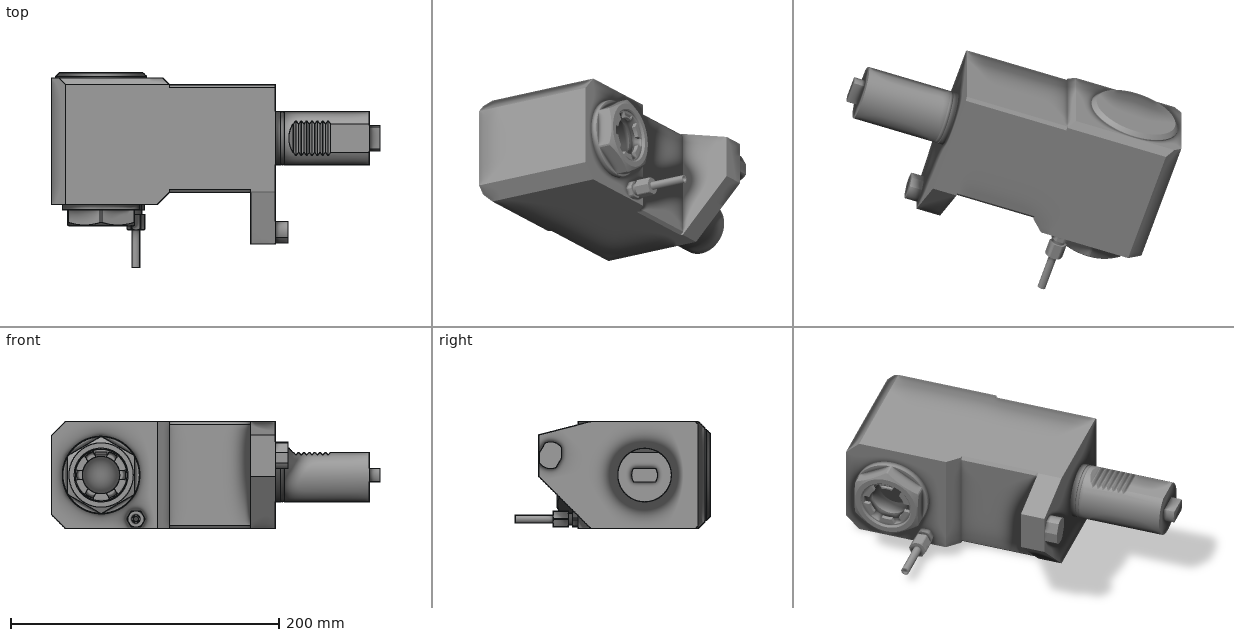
import cadquery as cq
import math


HEAD_LEFT = -167.0
HALF_HEIGHT = 40.0
HEAD_FRONT = -49.5
HEAD_BACK = 45.0
NECK_FRONT = -40.5
NECK_BACK = 40.0
NECK_START = -79.0
LEFT_CHAMFER = 10.5
NECK_CHAMFER = 2.3

FLANGE_THICKNESS = 18.5
FLANGE_FRONT = -79.0
FLANGE_TIP_TOP = 30.0
FLANGE_TIP_BOTTOM = -1.0
FLANGE_ROOT = -40.0

PIN_Y = -70.1
PIN_Z = 14.75
PIN_DIAMETER = 20.0
PIN_LENGTH = 9.5
PIN_FLATS = 16.2
PIN_FLAT_ANGLES = (0.0, -30.0)

SHANK_DIAMETER = 40.0
SHANK_LENGTH = 70.0
FLAT_HEIGHT = 17.0
FLAT_RUNOUT_START = 10.0
TOOTH_COUNT = 7
TOOTH_PITCH = 4.0
FIRST_TOOTH_X = 15.3
TOOTH_DEPTH = 1.8
TOOTH_ROOT_WIDTH = 0.2
SEAL_X = 5.2
SEAL_WIDTH = 2.8
SEAL_EDGE_DIAMETER = 38.38
SEAL_CROWN_DIAMETER = 39.9
TANG_DIAMETER = 19.2
TANG_THICKNESS = 10.0
TANG_LENGTH = 8.0

SPINDLE_X = -130.0
CAP_DIAMETER = 68.0
CAP_THICKNESS = 4.0
CAP_CHAMFER = 3.0
COLLAR_DIAMETER = 58.0
COLLAR_FACE = -53.7
COLLAR_CHAMFER = 0.5
NUT_FLATS = 50.0
NUT_CORNER_DIAMETER = 57.0
NUT_FACE = -65.4
NUT_FACE_DIAMETER = 48.0
NUT_CHAMFER_ANGLE = 30.0
NUT_TURN = 30.0
MOUTH_DIAMETER = 40.2
RECESS_DIAMETER = 38.5
RECESS_DEPTH = 2.0
SLOT_OUTER_DIAMETER = 36.5
SLOT_WIDTH = 6.8
SLOT_COUNT = 6
RING_THICKNESS = 3.0
UNDERCUT_WIDTH = 5.0
NOTCH_BOTTOM = 15.0
NOTCH_DEPTH = 2.2
NOTCH_WIDTH = 9.0
BORE_DIAMETER = 27.9
BORE_DEPTH = 24.0

FITTING_X = -104.0
FITTING_Z = -32.8
FITTING_FLATS = 12.0
FITTING_CORNER_DIAMETER = 13.4
FITTING_BASE_DIAMETER = 13.0
FITTING_CHAMFER = 0.6
FITTING_BASE_END = -53.7
FITTING_NECK_DIAMETER = 8.92
FITTING_HEX_START = -56.8
FITTING_HEX_END = -68.3
TUBE_DIAMETER = 6.0
TUBE_BORE = 4.0
TUBE_BORE_DEPTH = 28.0
TUBE_END = -96.5


def cylinder_y(x, z, diameter, y_start, y_end):
    """Cylinder along Y from y_start towards -Y to y_end."""
    plane = cq.Workplane("XZ", origin=(x, y_start, z))
    return plane.circle(diameter / 2).extrude(y_start - y_end)


def hexagon_y(x, z, flats, y_start, y_end, turn=0):
    """Hexagonal prism along Y; turn rotates its corners away from X."""
    corner_diameter = flats / math.cos(math.pi / 6)
    plane = cq.Workplane("XZ", origin=(x, y_start, z))
    prism = plane.polygon(6, corner_diameter).extrude(y_start - y_end)
    return prism.rotate((x, 0, z), (x, 1, z), turn)


def make_housing():
    """Chamfered head block on the spindle axis and the narrower neck behind the flange."""
    back_step = HEAD_BACK - NECK_BACK
    front_step = NECK_FRONT - HEAD_FRONT
    head_outline = [
        (HEAD_LEFT, HEAD_FRONT),
        (NECK_START - front_step, HEAD_FRONT),
        (NECK_START, NECK_FRONT),
        (NECK_START, NECK_BACK),
        (NECK_START - back_step, HEAD_BACK),
        (HEAD_LEFT, HEAD_BACK),
    ]
    bottom = cq.Workplane("XY").workplane(offset=-HALF_HEIGHT)
    head = bottom.polyline(head_outline).close().extrude(2 * HALF_HEIGHT)
    head = head.edges("|Y and <X").chamfer(LEFT_CHAMFER)
    head_section = [
        (HEAD_FRONT, HALF_HEIGHT),
        (NECK_BACK, HALF_HEIGHT),
        (HEAD_BACK, HALF_HEIGHT - back_step),
        (HEAD_BACK, back_step - HALF_HEIGHT),
        (NECK_BACK, -HALF_HEIGHT),
        (HEAD_FRONT, -HALF_HEIGHT),
    ]
    section_plane = cq.Workplane("YZ", origin=(HEAD_LEFT, 0, 0))
    head = head.intersect(section_plane.polyline(head_section).close().extrude(-HEAD_LEFT))

    neck = (
        cq.Workplane("YZ", origin=(NECK_START, 0, 0))
        .center((NECK_FRONT + NECK_BACK) / 2, 0)
        .rect(NECK_BACK - NECK_FRONT, 2 * HALF_HEIGHT)
        .extrude(-NECK_START)
        .edges("|X")
        .chamfer(NECK_CHAMFER)
    )
    return head.union(neck)


def make_flange():
    """Plate with a sloped lug towards -Y."""
    outline = [
        (0, HALF_HEIGHT),
        (FLANGE_ROOT, HALF_HEIGHT),
        (FLANGE_FRONT, FLANGE_TIP_TOP),
        (FLANGE_FRONT, FLANGE_TIP_BOTTOM),
        (FLANGE_ROOT, -HALF_HEIGHT),
        (0, -HALF_HEIGHT),
    ]
    plane = cq.Workplane("YZ", origin=(-FLANGE_THICKNESS, 0, 0))
    return plane.polyline(outline).close().extrude(FLANGE_THICKNESS)


def make_pin():
    """Round pin with two pairs of parallel flats, the second pair turned to the first."""
    plane = cq.Workplane("YZ").center(PIN_Y, PIN_Z)
    pin = plane.circle(PIN_DIAMETER / 2).extrude(PIN_LENGTH)
    slab = plane.rect(PIN_FLATS, PIN_DIAMETER).extrude(PIN_LENGTH)
    for angle in PIN_FLAT_ANGLES:
        pin = pin.intersect(slab.rotate((0, PIN_Y, PIN_Z), (1, PIN_Y, PIN_Z), angle))
    return pin


def make_shank():
    """Round shank with a toothed flat on top, a crowned seal band and a drive tang."""
    radius = SHANK_DIAMETER / 2
    shank = cq.Workplane("YZ").circle(radius).extrude(SHANK_LENGTH)

    flat_depth = radius - FLAT_HEIGHT
    flat_cut = [
        (FLAT_RUNOUT_START, radius),
        (FLAT_RUNOUT_START + flat_depth, FLAT_HEIGHT),
        (SHANK_LENGTH, FLAT_HEIGHT),
        (SHANK_LENGTH, radius),
    ]
    side = cq.Workplane("XZ")
    shank = shank.cut(side.polyline(flat_cut).close().extrude(radius, both=True))

    root = FLAT_HEIGHT - TOOTH_DEPTH
    half_root = TOOTH_ROOT_WIDTH / 2
    half_top = half_root + TOOTH_DEPTH
    for index in range(TOOTH_COUNT):
        x = FIRST_TOOTH_X + index * TOOTH_PITCH
        groove = [
            (x - half_top, FLAT_HEIGHT),
            (x - half_root, root),
            (x + half_root, root),
            (x + half_top, FLAT_HEIGHT),
        ]
        shank = shank.cut(side.polyline(groove).close().extrude(radius, both=True))

    seal_left = SEAL_X - SEAL_WIDTH / 2
    seal_right = SEAL_X + SEAL_WIDTH / 2
    seal_edge = SEAL_EDGE_DIAMETER / 2
    seal_groove = (
        cq.Workplane("XY")
        .moveTo(seal_left, seal_edge)
        .threePointArc((SEAL_X, SEAL_CROWN_DIAMETER / 2), (seal_right, seal_edge))
        .lineTo(seal_right, SHANK_DIAMETER)
        .lineTo(seal_left, SHANK_DIAMETER)
        .close()
        .revolve(360, (0, 0, 0), (1, 0, 0))
    )
    shank = shank.cut(seal_groove)

    tang_plane = cq.Workplane("YZ", origin=(SHANK_LENGTH, 0, 0))
    tang = tang_plane.circle(TANG_DIAMETER / 2).extrude(TANG_LENGTH)
    tang = tang.intersect(tang_plane.rect(TANG_DIAMETER, TANG_THICKNESS).extrude(TANG_LENGTH))
    return shank.union(tang)


def make_cap():
    cap = cylinder_y(SPINDLE_X, 0, CAP_DIAMETER, HEAD_BACK + CAP_THICKNESS, HEAD_BACK)
    return cap.faces(">Y").chamfer(CAP_CHAMFER)


def make_nut():
    """Round collar and a hexagonal nut with rounded, chamfered corners."""
    collar = cylinder_y(SPINDLE_X, 0, COLLAR_DIAMETER, HEAD_FRONT, COLLAR_FACE)
    collar = collar.faces("<Y").chamfer(COLLAR_CHAMFER)
    nut = hexagon_y(SPINDLE_X, 0, NUT_FLATS, COLLAR_FACE, NUT_FACE, NUT_TURN)
    corner_radius = NUT_CORNER_DIAMETER / 2
    face_radius = NUT_FACE_DIAMETER / 2
    cone_height = (corner_radius - face_radius) * math.tan(math.radians(NUT_CHAMFER_ANGLE))
    rounding_profile = [
        (0, COLLAR_FACE),
        (corner_radius, COLLAR_FACE),
        (corner_radius, NUT_FACE + cone_height),
        (face_radius, NUT_FACE),
        (0, NUT_FACE),
    ]
    half_section = cq.Workplane("XY", origin=(SPINDLE_X, 0, 0)).polyline(rounding_profile).close()
    rounding = half_section.revolve(360, (0, 0, 0), (0, 1, 0))
    return collar.union(nut.intersect(rounding))


def make_collet_cavity():
    """Chamfered recess, slotted ring with an undercut behind it and central bore, all open towards -Y."""
    ring_face = NUT_FACE + RECESS_DEPTH
    recess = cylinder_y(SPINDLE_X, 0, RECESS_DIAMETER, ring_face, NUT_FACE)
    bore = cylinder_y(SPINDLE_X, 0, BORE_DIAMETER, NUT_FACE + BORE_DEPTH, NUT_FACE)
    mouth_width = (MOUTH_DIAMETER - RECESS_DIAMETER) / 2
    mouth = cq.Workplane(
        cq.Solid.makeCone(
            MOUTH_DIAMETER / 2,
            RECESS_DIAMETER / 2,
            mouth_width,
            cq.Vector(SPINDLE_X, NUT_FACE, 0),
            cq.Vector(0, 1, 0),
        )
    )
    ring_back = ring_face + RING_THICKNESS
    undercut_back = ring_back + UNDERCUT_WIDTH
    undercut = cylinder_y(SPINDLE_X, 0, SLOT_OUTER_DIAMETER, undercut_back, ring_back)
    slot_limit = cylinder_y(SPINDLE_X, 0, SLOT_OUTER_DIAMETER, ring_back, ring_face)
    slot_plane = cq.Workplane("XZ", origin=(SPINDLE_X, ring_back, 0))
    cavity = recess.union(bore).union(mouth).union(undercut)
    for index in range(SLOT_COUNT // 2):
        bar = slot_plane.rect(SLOT_OUTER_DIAMETER, SLOT_WIDTH).extrude(RING_THICKNESS)
        bar = bar.rotate((SPINDLE_X, 0, 0), (SPINDLE_X, 1, 0), index * 360 / SLOT_COUNT)
        cavity = cavity.union(bar.intersect(slot_limit))
    notch_profile = [
        (ring_face, NOTCH_BOTTOM),
        (ring_face, NOTCH_BOTTOM + NOTCH_DEPTH),
        (ring_face + NOTCH_DEPTH, NOTCH_BOTTOM),
    ]
    notch_plane = cq.Workplane("YZ", origin=(SPINDLE_X, 0, 0))
    notch = notch_plane.polyline(notch_profile).close().extrude(NOTCH_WIDTH / 2, both=True)
    return cavity.union(notch)


def make_fitting():
    """Hexagonal base, round neck, hexagonal body and a bored tube along -Y."""
    base = hexagon_y(FITTING_X, FITTING_Z, FITTING_FLATS, HEAD_FRONT, FITTING_BASE_END)
    base = base.intersect(
        cylinder_y(FITTING_X, FITTING_Z, FITTING_BASE_DIAMETER, HEAD_FRONT, FITTING_BASE_END)
    )
    neck = cylinder_y(FITTING_X, FITTING_Z, FITTING_NECK_DIAMETER, HEAD_FRONT, FITTING_HEX_START)
    body = hexagon_y(FITTING_X, FITTING_Z, FITTING_FLATS, FITTING_HEX_START, FITTING_HEX_END)
    rounding = cylinder_y(
        FITTING_X, FITTING_Z, FITTING_CORNER_DIAMETER, FITTING_HEX_START, FITTING_HEX_END
    )
    body = body.intersect(rounding.faces("<Y").chamfer(FITTING_CHAMFER))
    tube = cylinder_y(FITTING_X, FITTING_Z, TUBE_DIAMETER, FITTING_HEX_END, TUBE_END)
    bore = cylinder_y(FITTING_X, FITTING_Z, TUBE_BORE, TUBE_END + TUBE_BORE_DEPTH, TUBE_END)
    return base.union(neck).union(body).union(tube).cut(bore)


result = make_housing().union(make_flange()).union(make_shank()).union(make_pin())
result = result.union(make_cap()).union(make_nut()).cut(make_collet_cavity()).union(make_fitting())